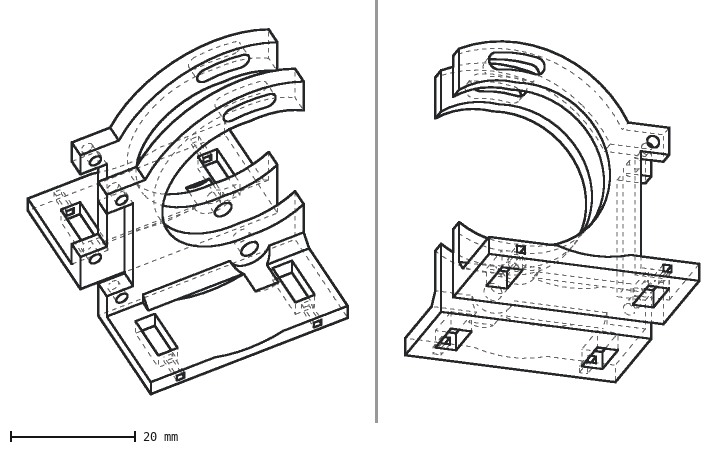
import cadquery as cq
import math

TOTAL_LENGTH = 43.5
TOTAL_HEIGHT = 44.55
WIDTH = 35.5
GAP = 6.25
BASE_THICKNESS = 3.0
PLATE_THICKNESS = 3.08

outer_x = TOTAL_LENGTH / 2
inner_x = GAP / 2
face_x = inner_x + PLATE_THICKNESS
back_y = WIDTH / 2
front_y = -back_y

RING_Y = 8.0
RING_Z = 23.45
OPENING_RADIUS = 14.17
OPENING_OFFSET = 3.08
ring_radius = TOTAL_HEIGHT - RING_Z

TAB_DEPTH = 4.75
UPPER_TAB_TOP = 33.05
UPPER_TAB_HEIGHT = 4.72
LOWER_TAB_TOP = 8.0
TAB_HOLE_DIAMETER = 2.0
TAB_HOLE_INSET = 2.7
UPPER_HOLE_Z = 30.25
LOWER_HOLE_Z = 6.05
neck_y = front_y + TAB_DEPTH

PIVOT_DIAMETER = 3.0
PIVOT_Z = 6.0
HEAD_CLEARANCE_DIAMETER = 7.4
HEAD_CLEARANCE_LENGTH = 6.05

SLOT_RADIUS = 17.75
SLOT_WIDTH = PIVOT_DIAMETER
SLOT_HALF_ANGLE = math.radians(10.4)

GUSSET_LENGTH_X = 1.9
GUSSET_HEIGHT = 1.95
GUSSET_FRONT_Y = -11.25
gusset_toe_x = face_x + GUSSET_LENGTH_X

TROUGH_RADIUS = 20.0
TROUGH_DEPTH = 1.0

WINDOW_SPACING = 24.7
WINDOW_LENGTH = 8.05
WINDOW_WIDTH = 3.48
WINDOW_INSET = 4.5
CHANNEL_WIDTH = 1.4
CHANNEL_HEIGHT = 1.15
CHANNEL_Z = 1.45


def block(x_range, y_range, z_range):
    """Box between the given limits."""
    size = [limits[1] - limits[0] for limits in (x_range, y_range, z_range)]
    corner = (x_range[0], y_range[0], z_range[0])
    return cq.Workplane("XY").box(*size, centered=False).translate(corner)


def rod(x_start, x_end, y, z, radius):
    """Cylinder along X."""
    profile = cq.Workplane("YZ", origin=(x_start, 0, 0)).center(y, z).circle(radius)
    return profile.extrude(x_end - x_start)


def ring_point(radius, angle):
    """Point at an angle from the ring's top, positive toward +Y."""
    return (RING_Y + radius * math.sin(angle), RING_Z + radius * math.cos(angle))


def plate_outline():
    back_top_z = RING_Z + math.sqrt(ring_radius**2 - (back_y - RING_Y)**2)
    tab_rise = UPPER_TAB_TOP - RING_Z
    tab_start_y = RING_Y - math.sqrt(ring_radius**2 - tab_rise**2)
    upper_tab_bottom = UPPER_TAB_TOP - UPPER_TAB_HEIGHT
    return (
        cq.Workplane("YZ", origin=(inner_x, 0, 0))
        .moveTo(back_y, 0)
        .lineTo(back_y, back_top_z)
        .threePointArc((RING_Y, TOTAL_HEIGHT), (tab_start_y, UPPER_TAB_TOP))
        .lineTo(front_y, UPPER_TAB_TOP)
        .lineTo(front_y, upper_tab_bottom)
        .lineTo(neck_y, upper_tab_bottom)
        .lineTo(neck_y, LOWER_TAB_TOP)
        .lineTo(front_y, LOWER_TAB_TOP)
        .lineTo(front_y, 0)
        .close()
    )


def adjustment_slot():
    outer = SLOT_RADIUS + SLOT_WIDTH / 2
    inner = SLOT_RADIUS - SLOT_WIDTH / 2
    end_angle = SLOT_HALF_ANGLE
    bulge_y = SLOT_WIDTH / 2 * math.cos(end_angle)
    bulge_z = SLOT_WIDTH / 2 * math.sin(end_angle)
    right_y, right_z = ring_point(SLOT_RADIUS, end_angle)
    left_y, left_z = ring_point(SLOT_RADIUS, -end_angle)
    return (
        cq.Workplane("YZ", origin=(inner_x, 0, 0))
        .moveTo(*ring_point(outer, -end_angle))
        .threePointArc(ring_point(outer, 0), ring_point(outer, end_angle))
        .threePointArc((right_y + bulge_y, right_z - bulge_z), ring_point(inner, end_angle))
        .threePointArc(ring_point(inner, 0), ring_point(inner, -end_angle))
        .threePointArc((left_y - bulge_y, left_z - bulge_z), ring_point(outer, -end_angle))
        .close()
        .extrude(PLATE_THICKNESS)
    )


def upright_plate():
    plate = plate_outline().extrude(PLATE_THICKNESS)
    for offset in (-OPENING_OFFSET / 2, OPENING_OFFSET / 2):
        plate = plate.cut(rod(inner_x, face_x, RING_Y + offset, RING_Z, OPENING_RADIUS))
    plate = plate.cut(adjustment_slot())
    plate = plate.cut(rod(inner_x, face_x, RING_Y, PIVOT_Z, PIVOT_DIAMETER / 2))
    hole_y = front_y + TAB_HOLE_INSET
    for hole_z in (UPPER_HOLE_Z, LOWER_HOLE_Z):
        plate = plate.cut(rod(inner_x, face_x, hole_y, hole_z, TAB_HOLE_DIAMETER / 2))
    return plate


def base():
    foot = block((inner_x, outer_x), (front_y, back_y), (0, BASE_THICKNESS))
    trough_z = BASE_THICKNESS - TROUGH_DEPTH + TROUGH_RADIUS
    foot = foot.cut(rod(gusset_toe_x, outer_x, 0, trough_z, TROUGH_RADIUS))
    window_end = outer_x - WINDOW_INSET
    for y in (-WINDOW_SPACING / 2, WINDOW_SPACING / 2):
        window = block(
            (window_end - WINDOW_LENGTH, window_end),
            (y - WINDOW_WIDTH / 2, y + WINDOW_WIDTH / 2),
            (0, BASE_THICKNESS),
        )
        channel = block(
            (window_end, outer_x),
            (y - CHANNEL_WIDTH / 2, y + CHANNEL_WIDTH / 2),
            (CHANNEL_Z - CHANNEL_HEIGHT / 2, CHANNEL_Z + CHANNEL_HEIGHT / 2),
        )
        foot = foot.cut(window).cut(channel)
    return foot


def gusset():
    corners = [
        (face_x, BASE_THICKNESS),
        (gusset_toe_x, BASE_THICKNESS),
        (face_x, BASE_THICKNESS + GUSSET_HEIGHT),
    ]
    return (
        cq.Workplane("XZ", origin=(0, back_y, 0))
        .polyline(corners)
        .close()
        .extrude(back_y - GUSSET_FRONT_Y)
    )


def bracket():
    """Bracket on the +X side."""
    body = base().union(upright_plate()).union(gusset())
    clearance_end = face_x + HEAD_CLEARANCE_LENGTH
    return body.cut(rod(face_x, clearance_end, RING_Y, PIVOT_Z, HEAD_CLEARANCE_DIAMETER / 2))


right_bracket = bracket()
left_bracket = right_bracket.mirror("YZ")

result = cq.Compound.makeCompound([left_bracket.val(), right_bracket.val()])